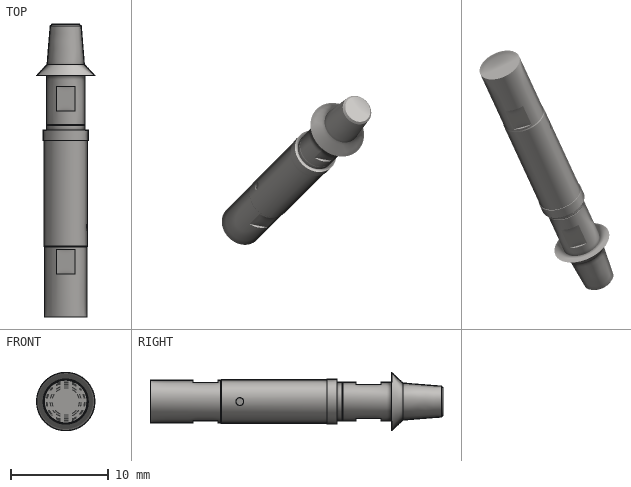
import cadquery as cq


total_length = 30.1
tip_chamfer_length = 0.2
tip_length = 4.15
flare_length = 1.15
plunger_length = 5.0
neck_length = 0.6
neck_chamfer_length = 0.1
collar_length = 1.05
barrel_length = 10.95
barrel_chamfer_length = 0.1

tip_diameter = 3.2
tip_base_diameter = 3.84
flare_diameter = 6.0
plunger_diameter = 4.0
neck_mouth_diameter = 3.84
neck_diameter = 4.0
collar_diameter = 4.64
barrel_diameter = 4.5
tail_diameter = 4.4
tip_chamfer_width = 0.2

dimple_diameter = 0.8
dimple_depth = 0.1
dimple_rear_gap = 2.0

flat_length = 2.55
plunger_flat_gap = 1.1
plunger_flat_thickness = 3.52
tail_flat_gap = 0.25
tail_flat_thickness = 3.96

collar_rear_y = 0.0
collar_front_y = collar_rear_y + collar_length
neck_front_y = collar_front_y + neck_length
flare_rear_y = neck_front_y + plunger_length
flare_front_y = flare_rear_y + flare_length
tip_end_y = flare_front_y + tip_length
barrel_rear_y = collar_rear_y - barrel_length
tail_end_y = tip_end_y - total_length


def turned_body():
    """Revolve the half profile of the pin about the Y axis."""
    profile = [
        (0, tip_end_y),
        (tip_diameter / 2 - tip_chamfer_width, tip_end_y),
        (tip_diameter / 2, tip_end_y - tip_chamfer_length),
        (tip_base_diameter / 2, flare_front_y),
        (flare_diameter / 2, flare_rear_y),
        (plunger_diameter / 2, flare_rear_y),
        (plunger_diameter / 2, neck_front_y),
        (neck_mouth_diameter / 2, neck_front_y),
        (neck_diameter / 2, neck_front_y - neck_chamfer_length),
        (neck_diameter / 2, collar_front_y),
        (collar_diameter / 2, collar_front_y),
        (collar_diameter / 2, collar_rear_y),
        (barrel_diameter / 2, collar_rear_y),
        (barrel_diameter / 2, barrel_rear_y + barrel_chamfer_length),
        (tail_diameter / 2, barrel_rear_y),
        (tail_diameter / 2, tail_end_y),
        (0, tail_end_y),
    ]
    return cq.Workplane("XY").polyline(profile).close().revolve(360, (0, 0), (0, 1))


def cut_flats(body, front_y, thickness):
    """Mill two opposite flats, leaving the given thickness along Z between them."""
    cutter_size = flare_diameter
    for side in (1, -1):
        cutter = cq.Workplane("XY").box(cutter_size, flat_length, cutter_size)
        center_z = side * (thickness + cutter_size) / 2
        body = body.cut(cutter.translate((0, front_y - flat_length / 2, center_z)))
    return body


def cut_dimple(body):
    """Sink the shallow round dimple into the +X side of the barrel."""
    floor_x = barrel_diameter / 2 - dimple_depth
    cutter = cq.Workplane("YZ", origin=(floor_x, barrel_rear_y + dimple_rear_gap, 0))
    return body.cut(cutter.circle(dimple_diameter / 2).extrude(dimple_depth))


pin = turned_body()
pin = cut_flats(pin, flare_rear_y - plunger_flat_gap, plunger_flat_thickness)
pin = cut_flats(pin, barrel_rear_y - tail_flat_gap, tail_flat_thickness)
pin = cut_dimple(pin)
result = pin